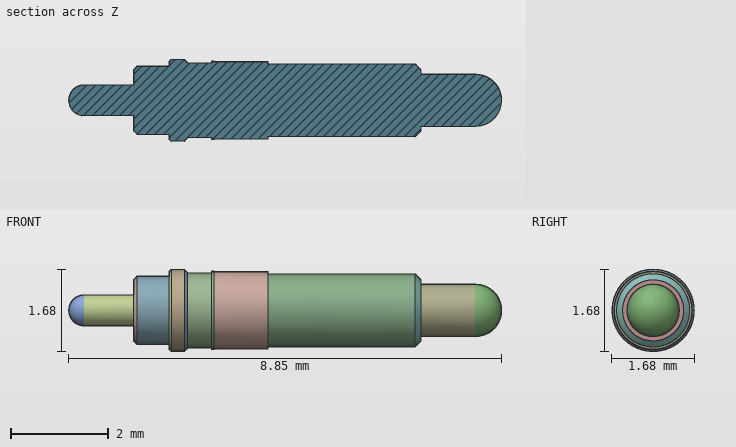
import cadquery as cq

length = 8.85
thin_pin_diameter = 0.64
thick_pin_diameter = 1.07
nose_diameter = 1.4
flange_diameter = 1.68
neck_diameter = 1.53
ring_diameter = 1.6
band_diameter = 1.58
body_diameter = 1.5

nose_start = 1.33
flange_start = 2.05
flange_end = 2.43
ring_start = 2.92
ring_width = 0.05
band_end = 4.07
body_end = 7.2

nose_chamfer = 0.07
flange_front_chamfer = 0.04
flange_rear_chamfer = 0.07
body_edge_chamfer = 0.12


def cylinder(diameter, start, end):
    """Solid cylinder on the X axis between two stations."""
    return cq.Workplane("YZ", origin=(start, 0, 0)).circle(diameter / 2).extrude(end - start)


def round_nosed_pin(diameter, tip, root):
    """Pin on the X axis with a hemisphere ending exactly at the tip."""
    radius = diameter / 2
    direction = 1 if root > tip else -1
    centre = tip + direction * radius
    profile = (
        cq.Workplane("XY")
        .moveTo(tip, 0)
        .radiusArc((centre, radius), direction * radius)
        .lineTo(root, radius)
        .lineTo(root, 0)
        .close()
    )
    return profile.revolve(360, (0, 0, 0), (1, 0, 0))


thin_pin = round_nosed_pin(thin_pin_diameter, 0, nose_start)
thick_pin = round_nosed_pin(thick_pin_diameter, length, body_end)

nose = cylinder(nose_diameter, nose_start, flange_start).faces("<X").chamfer(nose_chamfer)
flange = cylinder(flange_diameter, flange_start, flange_end)
flange = flange.faces("<X").chamfer(flange_front_chamfer).faces(">X").chamfer(flange_rear_chamfer)
neck = cylinder(neck_diameter, flange_end, ring_start)

ring_end = ring_start + ring_width
ring = cylinder(ring_diameter, ring_start, ring_end)
band = cylinder(band_diameter, ring_end, band_end)
body = cylinder(body_diameter, band_end, body_end).faces(">X").chamfer(body_edge_chamfer)

result = thin_pin
for section in (nose, flange, neck, ring, band, body, thick_pin):
    result = result.union(section)